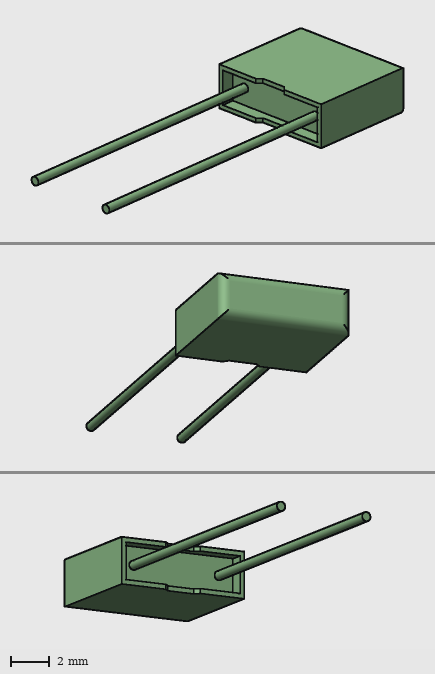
import cadquery as cq


total_length = 21.5
width = 7.2
height = 2.5

lead_length = 15.0
lead_diameter = 0.5
lead_pitch = 5.0

housing_depth = total_length - lead_length
wall = 0.25
back_fillet = 0.5

notch_width = 2.02
notch_depth = 0.25

potting_recess = 0.75
potting_depth = housing_depth - wall - potting_recess


def centred_block(x_size, y_start, y_size, z_size):
    """Block centred on X and Z, running towards +Y from y_start."""
    return cq.Workplane("XY").box(x_size, y_size, z_size).translate((0, y_start + y_size / 2, 0))


def make_potting():
    return centred_block(width - 2 * wall, potting_recess, potting_depth, height - 2 * wall)


def make_rim_notch():
    """Trapezoid cutter through both broad walls at the middle of the rim."""
    half_rim = notch_width / 2
    half_floor = half_rim - notch_depth
    outline = [
        (-half_rim, 0),
        (half_rim, 0),
        (half_floor, notch_depth),
        (-half_floor, notch_depth),
    ]
    return cq.Workplane("XY").polyline(outline).close().extrude(height / 2, both=True)


def make_housing():
    shell = centred_block(width, 0, housing_depth, height).faces(">Y").edges().fillet(back_fillet)
    cavity = centred_block(width - 2 * wall, 0, housing_depth - wall, height - 2 * wall)
    return shell.cut(cavity).cut(make_rim_notch())


def make_lead(x_position):
    """Round lead from the potting face to its free end."""
    return (
        cq.Workplane("XZ", origin=(x_position, potting_recess, 0))
        .circle(lead_diameter / 2)
        .extrude(potting_recess + lead_length)
    )


housing = make_housing()
potting = make_potting()
leads = [make_lead(side * lead_pitch / 2).val() for side in (-1, 1)]

result = cq.Compound.makeCompound([housing.val(), potting.val(), *leads])